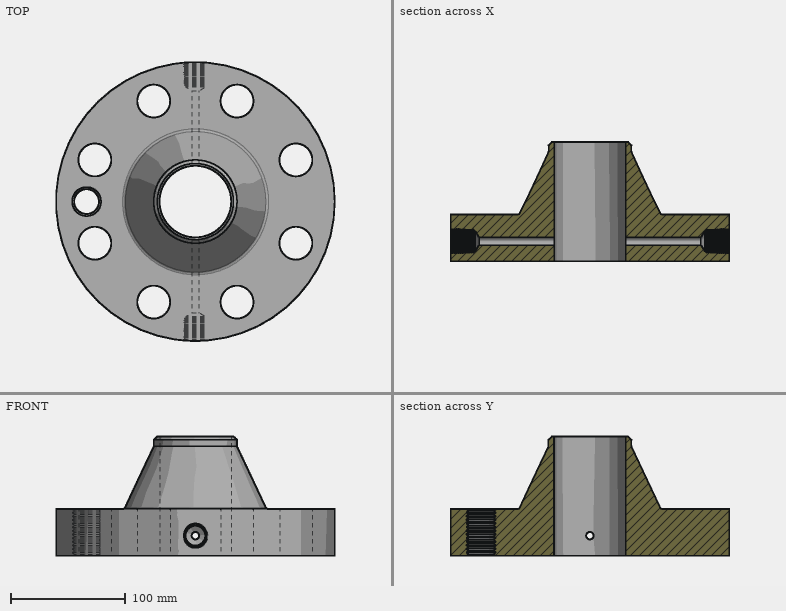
import cadquery as cq
import math

flange_diameter = 244.4
flange_radius = flange_diameter / 2
flange_thickness = 41.0

total_height = 104.5
bore_diameter = 62.5
bore_radius = bore_diameter / 2
neck_diameter = 73.0
neck_radius = neck_diameter / 2
hub_base_radius = 62.3
hub_fillet = 2.7
neck_straight = 5.9
bevel_width = 3.2
bevel_height = 3.0

bolt_count = 8
bolt_hole_diameter = 28.5
bolt_circle_diameter = 190.5
bolt_circle_radius = bolt_circle_diameter / 2

jack_major_radius = 12.7
jack_minor_radius = 10.8
jack_pitch = 3.2

tap_height = 17.5
tap_major_radius = 10.8
tap_thread_depth = 1.5
tap_pitch = 1.8
tap_thread_turns = 12
tap_taper = 1 / 32
drill_point_angle = 118.0
port_diameter = 6.4
port_radius = port_diameter / 2


def flange_with_neck():
    """Turned body: flange plate, filleted conical hub, straight neck and weld bevel."""
    bevel_start = total_height - bevel_height
    cone_top = bevel_start - neck_straight
    cone_angle = math.atan2(cone_top - flange_thickness, hub_base_radius - neck_radius)
    tangent = hub_fillet * math.tan(cone_angle / 2)
    fillet_centre_x = hub_base_radius + tangent
    fillet_centre_z = flange_thickness + hub_fillet
    fillet_middle = (
        fillet_centre_x - hub_fillet * math.sin(cone_angle / 2),
        fillet_centre_z - hub_fillet * math.cos(cone_angle / 2),
    )
    fillet_end = (
        hub_base_radius - tangent * math.cos(cone_angle),
        flange_thickness + tangent * math.sin(cone_angle),
    )
    return (
        cq.Workplane("XZ")
        .moveTo(bore_radius, 0)
        .lineTo(flange_radius, 0)
        .lineTo(flange_radius, flange_thickness)
        .lineTo(fillet_centre_x, flange_thickness)
        .threePointArc(fillet_middle, fillet_end)
        .lineTo(neck_radius, cone_top)
        .lineTo(neck_radius, bevel_start)
        .lineTo(neck_radius - bevel_width, total_height)
        .lineTo(bore_radius, total_height)
        .close()
        .revolve(360, (0, 0, 0), (0, 1, 0))
    )


def bolt_holes():
    """Clearance holes straddling the X and Y axes."""
    return (
        cq.Workplane("XY")
        .polarArray(bolt_circle_radius, 180 / bolt_count, 360, bolt_count)
        .circle(bolt_hole_diameter / 2)
        .extrude(flange_thickness)
    )


def thread_outline(major_radius, minor_radius, pitch, turns, taper):
    """Zigzag of (radius, depth) points running inwards from a root at depth zero."""
    points = []
    for half_turn in range(2 * turns + 1):
        depth = half_turn * pitch / 2
        radius = minor_radius if half_turn % 2 else major_radius
        points.append((radius - taper * depth, depth))
    return points


def threaded_hole(outline, end_depth):
    """Solid of the hole, opening at the origin and running along +Z to end_depth."""
    return (
        cq.Workplane("XZ")
        .polyline([(0, 0)] + outline + [(0, end_depth)])
        .close()
        .revolve(360, (0, 0, 0), (0, 1, 0))
    )


def jack_screw_hole():
    """Threaded hole through the flange on the -X side; thread simplified to rings."""
    turns = math.ceil(flange_thickness / jack_pitch)
    outline = thread_outline(jack_major_radius, jack_minor_radius, jack_pitch, turns, 0)
    return (
        threaded_hole(outline, turns * jack_pitch)
        .rotate((0, 0, 0), (1, 0, 0), 180)
        .translate((-bolt_circle_radius, 0, flange_thickness))
    )


def pressure_tap():
    """Tapered threaded hole with a drill point, entering from the -Y rim."""
    minor_radius = tap_major_radius - tap_thread_depth
    outline = thread_outline(tap_major_radius, minor_radius, tap_pitch, tap_thread_turns, tap_taper)
    thread_length = tap_pitch * tap_thread_turns
    end_radius = minor_radius - tap_taper * thread_length
    outline[-1] = (end_radius, thread_length)
    point_length = end_radius / math.tan(math.radians(drill_point_angle / 2))
    return (
        threaded_hole(outline, thread_length + point_length)
        .rotate((0, 0, 0), (1, 0, 0), -90)
        .translate((0, -flange_radius, tap_height))
    )


def pressure_port():
    """Small hole from rim to rim across the bore, joining both taps to it."""
    return (
        cq.Workplane("XZ", origin=(0, flange_radius, tap_height))
        .circle(port_radius)
        .extrude(flange_diameter)
    )


front_tap = pressure_tap()
back_tap = front_tap.mirror("XZ")

result = (
    flange_with_neck()
    .cut(bolt_holes())
    .cut(jack_screw_hole())
    .cut(front_tap)
    .cut(back_tap)
    .cut(pressure_port())
)